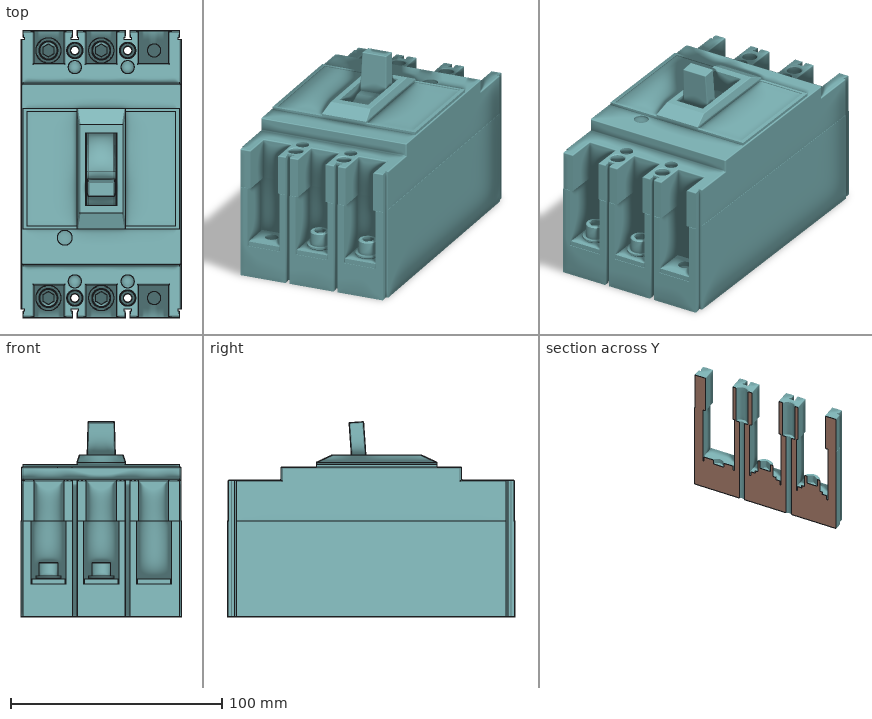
import cadquery as cq
import math


WIDTH = 76.0
LENGTH = 136.0
HALF_LENGTH = LENGTH / 2
SEAM_Z = 45.3
SHOULDER_Z = 64.7
PLATFORM_Z = 70.9
PLATFORM_LENGTH = 85.7
COVER_END_SETBACK = 0.3
COVER_SIDE_SETBACK = 0.1
COVER_WIDTH = WIDTH - 2 * COVER_SIDE_SETBACK
COVER_RIM_ROUND = 0.5
PLATFORM_CORNER_ROUND = 0.8
PLATFORM_RIM_ROUND = 0.4
PLATFORM_COVE = 0.5

POLE_PITCH = 25.0
POLE_XS = (-POLE_PITCH, 0.0, POLE_PITCH)
WALL_XS = (-POLE_PITCH / 2, POLE_PITCH / 2)
ENDS = (-1, 1)

LOWER_POCKET_BACK_Y = 52.4
UPPER_POCKET_BACK_Y = 52.5
POCKET_FLOOR_Z = 15.6
LOWER_POCKET_WIDTH = 16.6
UPPER_POCKET_WIDTH = 14.3
UPPER_POCKET_SHIFT = 0.3

TERMINAL_Y = 58.6
PLATE_WIDTH = 15.8
PLATE_TOP_Z = 18.0
PLATE_SETBACK = 0.3
PLATE_HOLE_DIAMETER = 6.3
WASHER_DIAMETER = 12.0
WASHER_TOP_Z = 19.3
WASHER_CHAMFER = 0.4
HEAD_DIAMETER = 9.0
HEAD_TOP_Z = 25.8
HEAD_CHAMFER = 0.4
SOCKET_FLATS = 5.3
SOCKET_DEPTH = 4.1
SOCKET_TURN = 30
SCREW_XS = POLE_XS[:2]

GROOVE_WIDTH = 2.2
GROOVE_HEAD_WIDTH = 3.4
GROOVE_DEPTH = 4.1
GROOVE_HEAD_LENGTH = 0.8
GROOVE_STRAIGHT_LENGTH = 1.9
GROOVE_FLARE = 0.1
CORNER_STEP = 1.0

MOUNT_HOLE_DIAMETER = 4.0
MOUNT_BORE_DIAMETER = 7.0
MOUNT_BORE_CHAMFER = 0.4
MOUNT_BORE_FLOOR_Z = SEAM_Z
BLIND_HOLE_Y = 50.7
BLIND_HOLE_DIAMETER = 6.3
BLIND_HOLE_DEPTH = 2.7

BUTTON_X = -17.3
BUTTON_Y = -30.0
BUTTON_DIAMETER = 7.1
BUTTON_RECESS = 0.7

PANEL_CENTRE_Y = 2.6
PANEL_WIDTH = 74.3
PANEL_LENGTH = 57.1
PANEL_Z = 72.2
PANEL_BORDER_X = 1.9
PANEL_BORDER_Y = 1.4
PANEL_RECESS = 0.4
SURROUND_WIDTH = 23.1
SURROUND_TOP_WIDTH = 20.7
SURROUND_TOP_LENGTH = 41.9
SURROUND_BEVEL_Z = 73.2
SURROUND_Z = 76.7
SURROUND_ROUND = 0.4

WINDOW_WIDTH = 14.8
WINDOW_LENGTH = 34.3
WINDOW_CENTRE_Y = 2.5
WINDOW_FLOOR_Z = 62.5

LEVER_CLEARANCE = 0.4
BARREL_WIDTH = WINDOW_WIDTH - 2 * LEVER_CLEARANCE
BARREL_ROUND = 1.0
BARREL_EDGES_Z = 68.0
BARREL_BACK_Z = 66.5
BARREL_SHOULDER_Z = 72.9
BARREL_SHOULDER_Y = 1.4
BARREL_ARC_RISE = 0.4
BARREL_CREST_Z = 73.5
BARREL_CREST_Y = -5.7
BARREL_FRONT_Z = 72.1
HANDLE_TILT = 4.0
HANDLE_THICKNESS = 7.0
HANDLE_TOP_WIDTH = 12.5
HANDLE_ROOT_WIDTH = 13.9
HANDLE_TOP_Z = 92.2
HANDLE_TOP_Y = -7.1
HANDLE_LENGTH = 24.5
HANDLE_ROUND = 0.4


def block(x_size, y_size, z_low, z_high, x=0.0, y=0.0):
    """Upright box centred on (x, y) between two heights."""
    return cq.Workplane("XY", origin=(x, y, z_low)).rect(x_size, y_size).extrude(z_high - z_low)


def cylinder(diameter, z_low, z_high, x, y):
    """Upright cylinder between two heights."""
    return cq.Workplane("XY", origin=(x, y, z_low)).circle(diameter / 2).extrude(z_high - z_low)


def make_base():
    """Lower block with the wide parts of the terminal pockets."""
    base = block(WIDTH, LENGTH, 0, SEAM_Z)
    for end in ENDS:
        for x in POLE_XS:
            base = base.cut(
                make_pocket(x, end, LOWER_POCKET_WIDTH, LOWER_POCKET_BACK_Y, POCKET_FLOOR_Z, SEAM_Z)
            )
    return base


def make_cover():
    """Slightly shorter upper block with rounded top rims and the narrow parts of the pockets."""
    cover = block(COVER_WIDTH, LENGTH - 2 * COVER_END_SETBACK, SEAM_Z, SHOULDER_Z)
    for end in ENDS:
        for side, pole_x in zip((-1, 0, 1), POLE_XS):
            x = pole_x - side * UPPER_POCKET_SHIFT
            cover = cover.cut(
                make_pocket(x, end, UPPER_POCKET_WIDTH, UPPER_POCKET_BACK_Y, SEAM_Z, SHOULDER_Z)
            )
    return cover.faces(">Z").edges().fillet(COVER_RIM_ROUND)


def make_platform():
    """Raised centre block with rounded edges and a cove along the foot of each end."""
    platform = (
        block(COVER_WIDTH, PLATFORM_LENGTH, SEAM_Z, PLATFORM_Z)
        .edges("|Z")
        .fillet(PLATFORM_CORNER_ROUND)
        .faces(">Z")
        .edges()
        .fillet(PLATFORM_RIM_ROUND)
    )
    cove_width = COVER_WIDTH - 2 * PLATFORM_CORNER_ROUND
    for end in ENDS:
        foot_y = end * PLATFORM_LENGTH / 2
        cove = (
            cq.Workplane("YZ", origin=(-cove_width / 2, 0, 0))
            .moveTo(foot_y, SHOULDER_Z)
            .lineTo(foot_y + end * PLATFORM_COVE, SHOULDER_Z)
            .radiusArc((foot_y, SHOULDER_Z + PLATFORM_COVE), end * PLATFORM_COVE)
            .close()
            .extrude(cove_width)
        )
        platform = platform.union(cove)
    return platform


def make_pocket(x, end, width, back_y, z_low, z_high):
    """Stretch of a terminal pocket, open at the end face."""
    depth = HALF_LENGTH - back_y
    return block(width, depth, z_low, z_high, x, end * (back_y + depth / 2))


def make_plate(x, end):
    """Terminal plate with its screw hole."""
    y_outer = HALF_LENGTH - PLATE_SETBACK
    depth = y_outer - LOWER_POCKET_BACK_Y
    y = end * (LOWER_POCKET_BACK_Y + depth / 2)
    plate = block(PLATE_WIDTH, depth, POCKET_FLOOR_Z, PLATE_TOP_Z, x, y)
    return plate.cut(cylinder(PLATE_HOLE_DIAMETER, POCKET_FLOOR_Z, PLATE_TOP_Z, x, end * TERMINAL_Y))


def make_screw(x, end):
    """Hexagon socket screw with its washer, filling the plate hole."""
    y = end * TERMINAL_Y
    shank = cylinder(PLATE_HOLE_DIAMETER, POCKET_FLOOR_Z, PLATE_TOP_Z, x, y)
    washer = cylinder(WASHER_DIAMETER, PLATE_TOP_Z, WASHER_TOP_Z, x, y)
    washer = washer.faces("<Z").chamfer(WASHER_CHAMFER)
    head = cylinder(HEAD_DIAMETER, WASHER_TOP_Z, HEAD_TOP_Z, x, y).faces(">Z").chamfer(HEAD_CHAMFER)
    socket_corners = SOCKET_FLATS / math.cos(math.pi / 6)
    socket = (
        cq.Workplane("XY", origin=(x, y, HEAD_TOP_Z - SOCKET_DEPTH))
        .transformed(rotate=(0, 0, SOCKET_TURN))
        .polygon(6, socket_corners)
        .extrude(SOCKET_DEPTH)
    )
    return shank.union(washer).union(head).cut(socket)


def make_groove(x, end, slot_width, head_width):
    """Full-height T groove, flared towards its head, that opens through the end face."""
    mouth_y = end * HALF_LENGTH
    flare_y = end * (HALF_LENGTH - GROOVE_STRAIGHT_LENGTH)
    neck_y = end * (HALF_LENGTH - GROOVE_DEPTH + GROOVE_HEAD_LENGTH)
    head_y = end * (HALF_LENGTH - GROOVE_DEPTH)
    half_slot = slot_width / 2
    half_neck = half_slot + GROOVE_FLARE
    half_head = head_width / 2
    right_side = [
        (half_slot, mouth_y),
        (half_slot, flare_y),
        (half_neck, neck_y),
        (half_head, neck_y),
        (half_head, head_y),
    ]
    left_side = [(-half, y) for half, y in reversed(right_side)]
    return (
        cq.Workplane("XY", origin=(x, 0, 0))
        .polyline(right_side + left_side)
        .close()
        .extrude(SHOULDER_Z)
    )


def make_wall_holes(x, end):
    """Counterbored mounting hole and the blind hole behind it."""
    y = end * TERMINAL_Y
    through = cylinder(MOUNT_HOLE_DIAMETER, 0, SHOULDER_Z, x, y)
    bore = cylinder(MOUNT_BORE_DIAMETER, MOUNT_BORE_FLOOR_Z, SHOULDER_Z, x, y)
    mouth = (
        cq.Workplane("XY", origin=(x, y, SHOULDER_Z))
        .circle(MOUNT_BORE_DIAMETER / 2 + MOUNT_BORE_CHAMFER)
        .workplane(offset=-MOUNT_BORE_CHAMFER)
        .circle(MOUNT_BORE_DIAMETER / 2)
        .loft()
    )
    blind = cylinder(
        BLIND_HOLE_DIAMETER, SHOULDER_Z - BLIND_HOLE_DEPTH, SHOULDER_Z, x, end * BLIND_HOLE_Y
    )
    return through.union(bore).union(mouth).union(blind)


def make_panel():
    """Raised front panel with a shallow recessed field."""
    panel = block(PANEL_WIDTH, PANEL_LENGTH, PLATFORM_Z, PANEL_Z, 0, PANEL_CENTRE_Y)
    field = block(
        PANEL_WIDTH - 2 * PANEL_BORDER_X,
        PANEL_LENGTH - 2 * PANEL_BORDER_Y,
        PANEL_Z - PANEL_RECESS,
        PANEL_Z,
        0,
        PANEL_CENTRE_Y,
    )
    return panel.cut(field)


def make_surround():
    """Bevelled block around the lever window."""
    foot = block(SURROUND_WIDTH, PANEL_LENGTH, PLATFORM_Z, SURROUND_BEVEL_Z, 0, PANEL_CENTRE_Y)
    bevel = (
        cq.Workplane("XY", origin=(0, PANEL_CENTRE_Y, SURROUND_BEVEL_Z))
        .rect(SURROUND_WIDTH, PANEL_LENGTH)
        .workplane(offset=SURROUND_Z - SURROUND_BEVEL_Z)
        .rect(SURROUND_TOP_WIDTH, SURROUND_TOP_LENGTH)
        .loft()
    )
    corners = "not (|X or |Y)"
    long_rims = "|Y and >Z"
    return foot.union(bevel).edges(f"({corners}) or ({long_rims})").fillet(SURROUND_ROUND)


def make_housing():
    housing = make_base().union(make_cover()).union(make_platform())
    for end in ENDS:
        for x in POLE_XS:
            housing = housing.union(make_plate(x, end))
        for x in SCREW_XS:
            housing = housing.union(make_screw(x, end))
        for x in WALL_XS:
            housing = housing.cut(make_groove(x, end, GROOVE_WIDTH, GROOVE_HEAD_WIDTH))
            housing = housing.cut(make_wall_holes(x, end))
        for x in (-WIDTH / 2, WIDTH / 2):
            head_width = 2 * CORNER_STEP + GROOVE_HEAD_WIDTH - GROOVE_WIDTH
            housing = housing.cut(make_groove(x, end, 2 * CORNER_STEP, head_width))
    housing = housing.union(make_panel()).union(make_surround())
    housing = housing.cut(
        cylinder(BUTTON_DIAMETER, PLATFORM_Z - BUTTON_RECESS, PLATFORM_Z, BUTTON_X, BUTTON_Y)
    )
    return housing.cut(
        block(WINDOW_WIDTH, WINDOW_LENGTH, WINDOW_FLOOR_Z, SURROUND_Z, 0, WINDOW_CENTRE_Y)
    )


def make_lever():
    """Barrel that rests on the window floor, with a tilted tapering handle."""
    back_y = WINDOW_CENTRE_Y + WINDOW_LENGTH / 2
    front_y = WINDOW_CENTRE_Y - WINDOW_LENGTH / 2
    arc_middle = (
        (back_y + BARREL_SHOULDER_Y) / 2,
        (BARREL_BACK_Z + BARREL_SHOULDER_Z) / 2 + BARREL_ARC_RISE,
    )
    upper_edges = cq.selectors.BoxSelector(
        (-WIDTH, -LENGTH, BARREL_EDGES_Z), (WIDTH, LENGTH, SURROUND_Z)
    )
    barrel = (
        cq.Workplane("YZ", origin=(-BARREL_WIDTH / 2, 0, 0))
        .moveTo(front_y, WINDOW_FLOOR_Z)
        .lineTo(back_y, WINDOW_FLOOR_Z)
        .lineTo(back_y, BARREL_BACK_Z)
        .threePointArc(arc_middle, (BARREL_SHOULDER_Y, BARREL_SHOULDER_Z))
        .lineTo(BARREL_CREST_Y, BARREL_CREST_Z)
        .lineTo(front_y, BARREL_FRONT_Z)
        .close()
        .extrude(BARREL_WIDTH)
        .faces("<X or >X")
        .edges(upper_edges)
        .fillet(BARREL_ROUND)
    )
    handle = (
        cq.Workplane("XY")
        .workplane(offset=-HANDLE_LENGTH)
        .rect(HANDLE_ROOT_WIDTH, HANDLE_THICKNESS)
        .workplane(offset=HANDLE_LENGTH)
        .rect(HANDLE_TOP_WIDTH, HANDLE_THICKNESS)
        .loft()
        .edges("not <Z")
        .fillet(HANDLE_ROUND)
        .rotate((0, 0, 0), (1, 0, 0), HANDLE_TILT)
        .translate((0, HANDLE_TOP_Y, HANDLE_TOP_Z))
    )
    return barrel.union(handle)


housing = make_housing()
lever = make_lever()
result = cq.Compound.makeCompound([housing.val(), lever.val()])